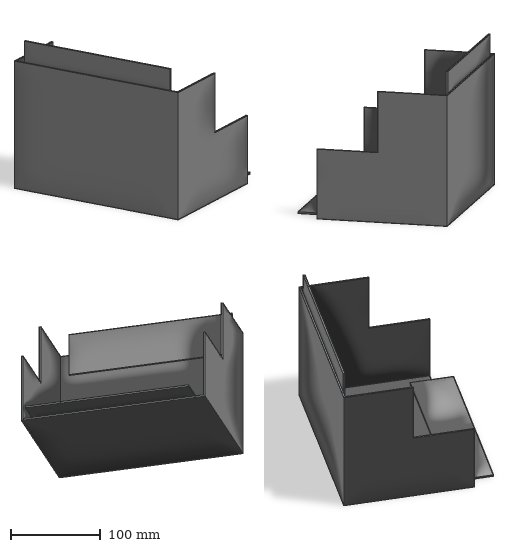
import cadquery as cq

housing_width = 214.0
housing_size = 150.0
wall = 2.0
step_size = 80.0

plate_width = 190.0
plate_length = 50.0
plate_thickness = 2.0
plate_overhang = 25.0

plate_start = housing_size + plate_overhang - plate_length


def box_from(x_size, y_size, z_size, y_start, z_start):
    """Box centred on X, starting at the given Y and Z."""
    return (
        cq.Workplane("XY")
        .box(x_size, y_size, z_size, centered=(True, False, False))
        .translate((0, y_start, z_start))
    )


def make_housing():
    """L-shaped prism hollowed out so that floor, front and side walls remain."""
    side_profile = [
        (0, 0),
        (housing_size, 0),
        (housing_size, step_size),
        (step_size, step_size),
        (step_size, housing_size),
        (0, housing_size),
    ]
    solid = (
        cq.Workplane("YZ")
        .polyline(side_profile)
        .close()
        .extrude(housing_width / 2, both=True)
    )
    cavity = box_from(housing_width - 2 * wall, housing_size, housing_size, wall, wall)
    return solid.cut(cavity)


def make_floor_plate():
    """Plate lying on the floor and sticking out towards +Y."""
    return box_from(plate_width, plate_length, plate_thickness, plate_start, wall)


def make_front_plate():
    """Plate standing against the front wall and sticking out towards +Z."""
    return box_from(plate_width, plate_thickness, plate_length, wall, plate_start)


housing = make_housing()
floor_plate = make_floor_plate()
front_plate = make_front_plate()

result = cq.Compound.makeCompound([housing.val(), floor_plate.val(), front_plate.val()])